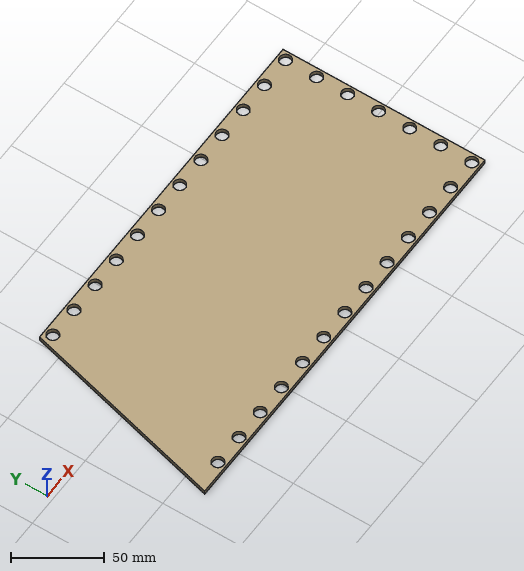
import cadquery as cq

length = 265.0
width = 130.0
thickness = 3.0
slant_run = 34.7

hole_diameter = 7.5
edge_margin = 5.0
right_column_count = 7
bottom_row_count = 13
top_row_count = 12

right_x = length - edge_margin
bottom_y = edge_margin
top_y = width - edge_margin
pitch = (top_y - bottom_y) / (right_column_count - 1)


def row_centers(count, y):
    """Hole centres spaced leftward from the right column."""
    return [(right_x - i * pitch, y) for i in range(count)]


column_centers = [(right_x, bottom_y + i * pitch) for i in range(1, right_column_count - 1)]
hole_centers = row_centers(bottom_row_count, bottom_y) + row_centers(top_row_count, top_y) + column_centers

plate = (
    cq.Workplane("XY")
    .polyline([(0, 0), (length, 0), (length, width), (slant_run, width)])
    .close()
    .extrude(thickness)
)
holes = cq.Workplane("XY").pushPoints(hole_centers).circle(hole_diameter / 2).extrude(thickness)

result = plate.cut(holes)